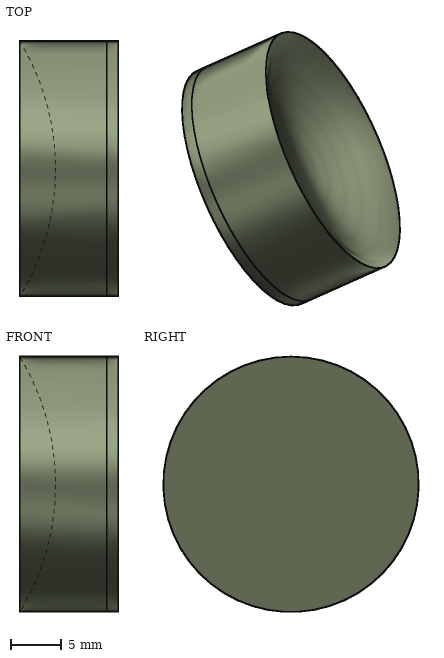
import cadquery as cq
import math

lens_diameter = 25.4
total_thickness = 9.8
rear_lens_thickness = 1.15
concave_radius = 24.5

lens_radius = lens_diameter / 2
front_lens_thickness = total_thickness - rear_lens_thickness
concave_depth = concave_radius - math.sqrt(concave_radius**2 - lens_radius**2)


def revolve_about_optical_axis(half_section):
    """Turn a closed half section, drawn in the XZ plane, once around the X axis."""
    return half_section.revolve(360, (0, 0, 0), (1, 0, 0))


def make_front_lens():
    """Thick lens with a spherical hollow on its -X side and a flat +X face."""
    half_section = (
        cq.Workplane("XZ")
        .moveTo(concave_depth, 0)
        .lineTo(front_lens_thickness, 0)
        .lineTo(front_lens_thickness, lens_radius)
        .lineTo(0, lens_radius)
        .radiusArc((concave_depth, 0), concave_radius)
        .close()
    )
    return revolve_about_optical_axis(half_section)


def make_rear_lens():
    """Thin plain disc seated against the flat +X face of the front lens."""
    half_section = (
        cq.Workplane("XZ")
        .moveTo(front_lens_thickness, 0)
        .lineTo(total_thickness, 0)
        .lineTo(total_thickness, lens_radius)
        .lineTo(front_lens_thickness, lens_radius)
        .close()
    )
    return revolve_about_optical_axis(half_section)


front_lens = make_front_lens()
rear_lens = make_rear_lens()

result = cq.Compound.makeCompound([front_lens.val(), rear_lens.val()])